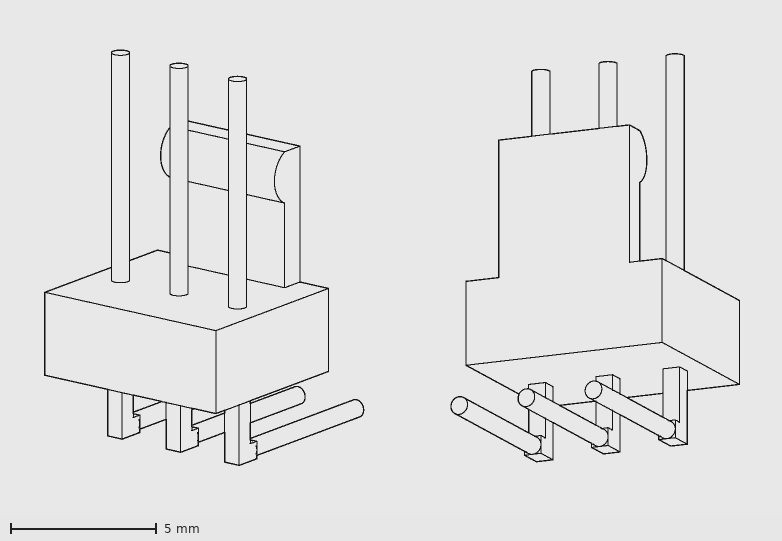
import cadquery as cq

body_width = 7.43
body_depth = 6.33
body_height = 2.98
body_bottom = 2.6
body_back = 3.6
body_top = body_bottom + body_height

wall_width = 4.95
wall_thickness = 0.87
wall_top = 10.45
bead_height = 1.84
bead_reach = 0.58

pin_count = 3
pin_pitch = 2.54
pin_size = 0.63
pin_top = 13.74
tail_end = 6.68
elbow_end = 0.67


def make_body():
    return cq.Workplane("XY").box(
        body_width, body_depth, body_height, centered=(True, False, False)
    ).translate((0, body_back - body_depth, body_bottom))


def make_wall():
    wall_front = body_back - wall_thickness
    bead_bottom = wall_top - bead_height
    bead_crest = (wall_front - bead_reach, wall_top - bead_height / 2)
    return (
        cq.Workplane("YZ")
        .moveTo(body_back, body_top)
        .lineTo(body_back, wall_top)
        .lineTo(wall_front, wall_top)
        .threePointArc(bead_crest, (wall_front, bead_bottom))
        .lineTo(wall_front, body_top)
        .close()
        .extrude(wall_width / 2, both=True)
    )


def make_pin(x):
    half = pin_size / 2
    post = cq.Workplane("XY", origin=(x, 0, body_top)).circle(half).extrude(pin_top - body_top)
    bend = (
        cq.Workplane("YZ", origin=(x, 0, 0))
        .moveTo(-half, 0)
        .lineTo(elbow_end, 0)
        .lineTo(elbow_end, pin_size)
        .lineTo(half, pin_size)
        .lineTo(half, body_bottom)
        .lineTo(-half, body_bottom)
        .close()
        .extrude(half, both=True)
    )
    tail = cq.Workplane("XZ", origin=(x, elbow_end, half)).circle(half).extrude(elbow_end - tail_end)
    return post.union(bend).union(tail)


result = make_body().union(make_wall())
for index in range(pin_count):
    pin_x = (index - (pin_count - 1) / 2) * pin_pitch
    result = result.union(make_pin(pin_x))